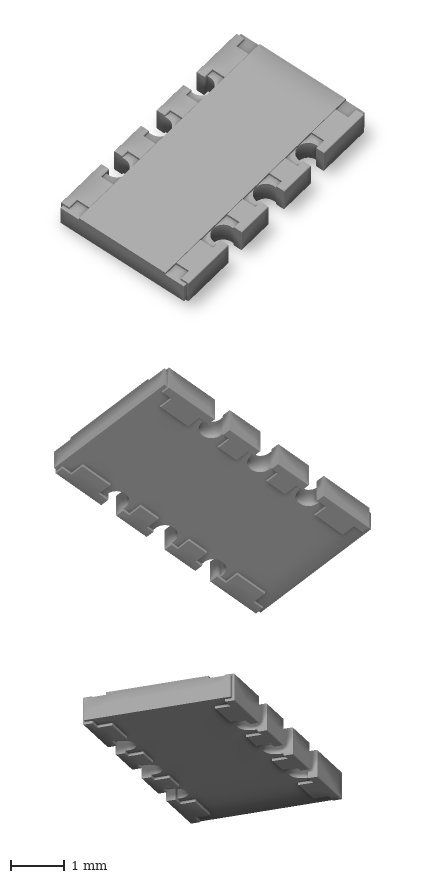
import cadquery as cq

length = 5.4
width = 3.1
height = 0.55

plating = 0.0515
cover_thickness = plating

notch_pitch = 1.27
notch_radius = 0.245
notch_count = 3
notch_depth = 0.5

end_margin = 0.08
end_terminal_length = 1.195
inner_terminal_length = 0.795
end_tab_inset = 0.24
inner_tab_inset = 0.16
rail_width = 0.2
tab_width = notch_depth
edge_radius = 0.02

substrate_width = width - 2 * plating
substrate_height = height - 2 * plating
cover_width = width - 2 * notch_depth
end_terminal_y = length / 2 - end_margin - end_terminal_length / 2
inner_terminal_y = notch_pitch / 2


def centered_y_box(x_start, size_x, center_y, size_y, z_start, size_z):
    """Box from x_start and z_start, centered on center_y."""
    box = cq.Workplane("XY").box(size_x, size_y, size_z, centered=(False, True, False))
    return box.translate((x_start, center_y, z_start))


def notch(side, center_y):
    """Slot cutter with a round bottom, open to one long side (-1 or +1)."""
    center_x = width / 2 - notch_depth + notch_radius
    round_bottom = cq.Workplane("XY").circle(notch_radius).extrude(height)
    round_bottom = round_bottom.translate((side * center_x, center_y, 0))
    mouth = cq.Workplane("XY").box(
        notch_depth, 2 * notch_radius, height, centered=(True, True, False)
    )
    mouth = mouth.translate((side * (center_x + notch_depth / 2), center_y, 0))
    return round_bottom.union(mouth)


def substrate():
    """Ceramic slab with notches along both long sides."""
    slab = cq.Workplane("XY").box(
        substrate_width, length, substrate_height, centered=(True, True, False)
    )
    slab = slab.translate((0, 0, plating))
    for index in range(notch_count):
        notch_y = (index - (notch_count - 1) / 2) * notch_pitch
        for side in (-1, 1):
            slab = slab.cut(notch(side, notch_y))
    return slab


def cover():
    """Full-length coating between the two notch rows."""
    coat = cq.Workplane("XY").box(
        cover_width, length, cover_thickness, centered=(True, True, False)
    )
    return coat.translate((0, 0, height - cover_thickness))


def terminal(center_y, terminal_length, tab_inset):
    """Left-side terminal: full-height rail with a tab on the top and the bottom."""
    tab_length = terminal_length - 2 * tab_inset
    left = -width / 2
    rail = centered_y_box(left, rail_width, center_y, terminal_length, 0, height)
    rail = rail.edges("|Y").fillet(edge_radius)

    tab_start = left + rail_width / 2
    tab_reach = tab_width - rail_width / 2
    bottom_tab = centered_y_box(tab_start, tab_reach, center_y, tab_length, 0, plating)
    bottom_tab = bottom_tab.edges("|Y and >X and <Z").fillet(edge_radius)
    top_tab = bottom_tab.mirror("XY", (0, 0, height / 2))
    return rail.union(bottom_tab).union(top_tab)


result = substrate().union(cover())
for end in (-1, 1):
    for left_terminal in (
        terminal(end * end_terminal_y, end_terminal_length, end_tab_inset),
        terminal(end * inner_terminal_y, inner_terminal_length, inner_tab_inset),
    ):
        result = result.union(left_terminal).union(left_terminal.mirror("YZ"))